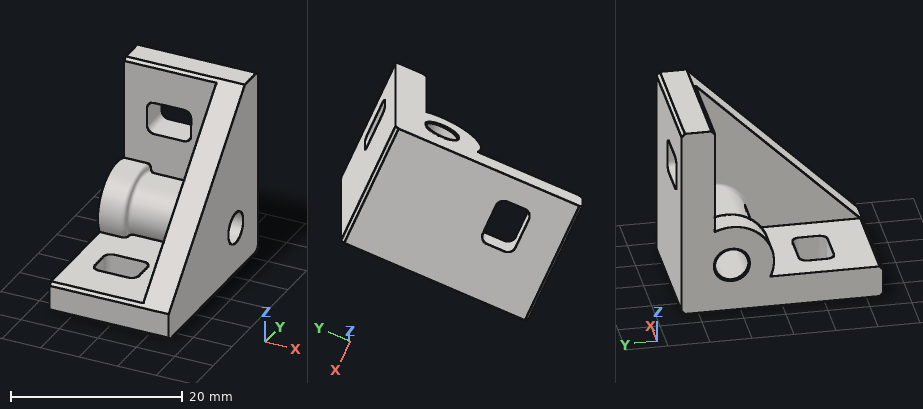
import cadquery as cq

width = 15.5
leg = 24.0
flange = 3.98
edge_chamfer = 0.4
pocket_width = 12.0

barrel_center = 6.0
barrel_radius = 4.0
collar_radius = 5.02
collar_length = 3.5
collar_round = 0.5
collar_fillet = 0.45
wall_fillet = 0.4
bore_radius = 2.0
bore_chamfer = 0.15

slot_length = 5.7
slot_height = 4.18
slot_radius = 0.95
slot_x = 5.85
slot_distance = 16.8


def make_body():
    """Triangular prism with blunt tips and chamfered outer corners."""
    tip = flange - edge_chamfer
    points = [
        (edge_chamfer, 0),
        (leg - edge_chamfer, 0),
        (leg, edge_chamfer),
        (leg, tip),
        (tip, leg),
        (edge_chamfer, leg),
        (0, leg - edge_chamfer),
        (0, edge_chamfer),
    ]
    plane = cq.Plane(origin=(0, leg, 0), xDir=(0, -1, 0), normal=(-1, 0, 0))
    return cq.Workplane(plane).polyline(points).close().extrude(-width)


def make_pocket():
    """Square opening between the flanges, leaving the gusset wall at the +X end."""
    opening = leg - flange
    pocket = cq.Workplane("XY").box(pocket_width, opening, opening, centered=False)
    return pocket.translate((0, 0, flange))


def make_barrel():
    """Revolved barrel: collar with rounded rim, then a shaft flaring into both end faces."""
    fillet_top = barrel_radius + collar_fillet
    profile = (
        cq.Workplane("XY")
        .lineTo(0, collar_radius)
        .lineTo(collar_length - collar_round, collar_radius)
        .radiusArc((collar_length, collar_radius - collar_round), collar_round)
        .lineTo(collar_length, fillet_top)
        .radiusArc((collar_length + collar_fillet, barrel_radius), -collar_fillet)
        .lineTo(pocket_width - wall_fillet, barrel_radius)
        .radiusArc((pocket_width, barrel_radius + wall_fillet), -wall_fillet)
        .lineTo(pocket_width, 0)
        .close()
    )
    barrel = profile.revolve(360, (0, 0, 0), (1, 0, 0))
    return barrel.translate((0, leg - barrel_center, barrel_center))


def make_bore():
    """Through bore with a small chamfer at the collar end."""
    mouth_radius = bore_radius + bore_chamfer
    profile = [
        (0, 0),
        (0, mouth_radius),
        (bore_chamfer, bore_radius),
        (width, bore_radius),
        (width, 0),
    ]
    bore = cq.Workplane("XY").polyline(profile).close().revolve(360, (0, 0, 0), (1, 0, 0))
    return bore.translate((0, leg - barrel_center, barrel_center))


def make_slot(plane, center):
    """Rounded rectangular slot cut through one flange."""
    slot = cq.Workplane(plane).center(*center).rect(slot_length, slot_height).extrude(flange)
    corner_edges = cq.selectors.ParallelDirSelector(slot.plane.zDir)
    return slot.edges(corner_edges).fillet(slot_radius)


bottom_slot = make_slot("XY", (slot_x, leg - slot_distance))
back_slot = make_slot("XZ", (slot_x, slot_distance)).translate((0, leg, 0))

result = make_body().cut(make_pocket()).union(make_barrel())
result = result.cut(make_bore()).cut(bottom_slot).cut(back_slot)